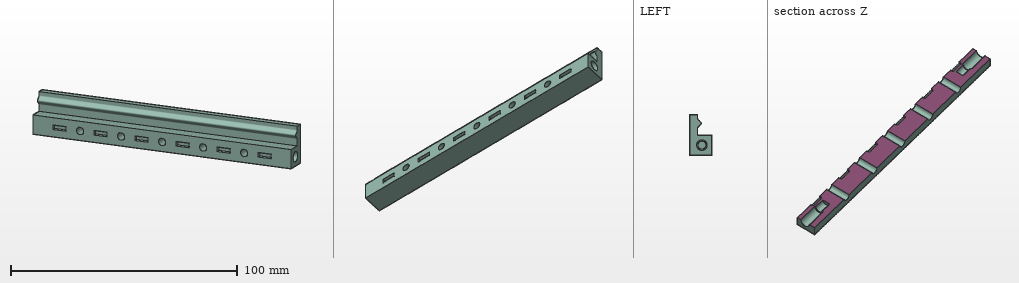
import cadquery as cq

length = 126.0
width = 9.8
height = 18.0

base_height = 9.0
wall_thickness = 3.5
wall_face = width - wall_thickness

rib_center = 14.1
rib_half_height = 1.9
rib_root_radius = 0.6
rib_nose_radius = 0.6

bore_y = 4.4
counterbore_diameter = 4.7
counterbore_depth = 10.1
bore_diameter = 3.5
bore_depth = 15.1

row_height = base_height / 2
slot_count = 6
end_slot_inset = 13.0
slot_pitch = (length - 2 * end_slot_inset) / (slot_count - 1)
slot_length = 6.3
slot_height = 2.0
slot_depth = 1.3
slot_draft = 10.0
hole_diameter = 3.4


def make_rail():
    """Extruded rail with the rib rounded at its roots and nose."""
    rib_top = (wall_face, rib_center + rib_half_height)
    rib_nose = (wall_face - rib_half_height, rib_center)
    rib_bottom = (wall_face, rib_center - rib_half_height)
    outline = [
        (0, 0),
        (width, 0),
        (width, height),
        (wall_face, height),
        rib_top,
        rib_nose,
        rib_bottom,
        (wall_face, base_height),
        (0, base_height),
    ]
    rail = cq.Workplane("YZ").polyline(outline).close().extrude(length)
    for corner, radius in (
        (rib_nose, rib_nose_radius),
        (rib_top, rib_root_radius),
        (rib_bottom, rib_root_radius),
    ):
        edge_middle = (length / 2, *corner)
        rail = rail.edges(cq.selectors.NearestToPointSelector(edge_middle)).fillet(radius)
    return rail


def make_left_end_bore():
    """Stepped cutter entering the base from the X = 0 end."""
    mouth = cq.Workplane("YZ").center(bore_y, row_height)
    wide_part = mouth.circle(counterbore_diameter / 2).extrude(counterbore_depth)
    narrow_part = mouth.circle(bore_diameter / 2).extrude(bore_depth)
    return wide_part.union(narrow_part)


def make_slots():
    """Shallow pocket cutters that narrow towards their floors."""
    slot_centers = [(end_slot_inset + i * slot_pitch, row_height) for i in range(slot_count)]
    return (
        cq.Workplane("XZ")
        .pushPoints(slot_centers)
        .rect(slot_length, slot_height)
        .extrude(-slot_depth, taper=slot_draft)
    )


def make_cross_holes():
    """Cutters for the holes that run through the base from front to back."""
    first_hole = end_slot_inset + slot_pitch / 2
    hole_centers = [(first_hole + i * slot_pitch, row_height) for i in range(slot_count - 1)]
    return cq.Workplane("XZ").pushPoints(hole_centers).circle(hole_diameter / 2).extrude(-width)


left_end_bore = make_left_end_bore()
right_end_bore = left_end_bore.mirror("YZ", (length / 2, 0, 0))

result = (
    make_rail()
    .cut(left_end_bore)
    .cut(right_end_bore)
    .cut(make_slots())
    .cut(make_cross_holes())
)